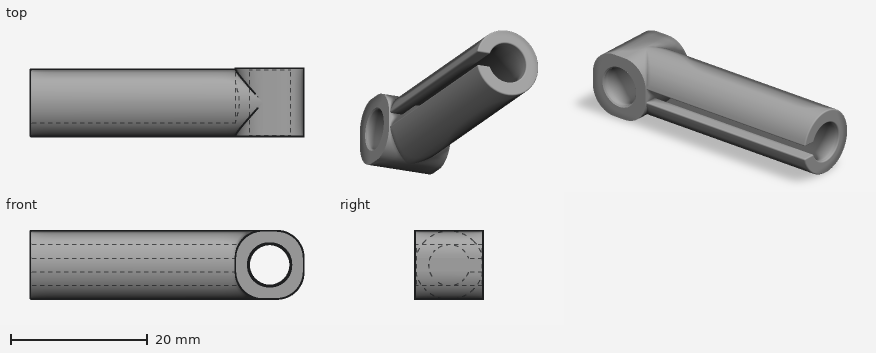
import cadquery as cq
length = 40.0
width = 10.0
bore_diameter = 6.0
head_corner_radius = 4.0
slot_width = 2.0
edge_radius = 0.2
hole_chamfer = 0.2

head_center_x = length - width / 2


def make_tube():
    """Tube along X, slit along +Y, with its open end and slit edges rounded."""
    tube = (
        cq.Workplane("YZ")
        .circle(width / 2)
        .circle(bore_diameter / 2)
        .extrude(head_center_x)
    )
    slot = cq.Workplane("XY").box(
        head_center_x, width / 2, slot_width, centered=(False, False, True)
    )
    slit_tube = tube.cut(slot)
    open_end_edges = slit_tube.faces("<X").edges()
    slit_edges = slit_tube.edges("|X")
    return open_end_edges.add(slit_edges).fillet(edge_radius)


def make_head():
    """Rounded square block across the tube end, solid where it closes the bore."""
    return (
        cq.Workplane("XY")
        .box(width, width, width)
        .edges("|Y")
        .fillet(head_corner_radius)
        .translate((head_center_x, 0, 0))
    )


def make_head_hole():
    """Cutter for the through hole along Y, flared by a chamfer at both mouths."""
    radius = bore_diameter / 2
    mouth_radius = radius + hole_chamfer
    half_width = width / 2
    half_profile = [
        (0, -half_width),
        (mouth_radius, -half_width),
        (radius, -half_width + hole_chamfer),
        (radius, half_width - hole_chamfer),
        (mouth_radius, half_width),
        (0, half_width),
    ]
    return (
        cq.Workplane("XY")
        .polyline(half_profile)
        .close()
        .revolve(360, (0, 0, 0), (0, 1, 0))
        .translate((head_center_x, 0, 0))
    )


result = make_tube().union(make_head()).cut(make_head_hole())